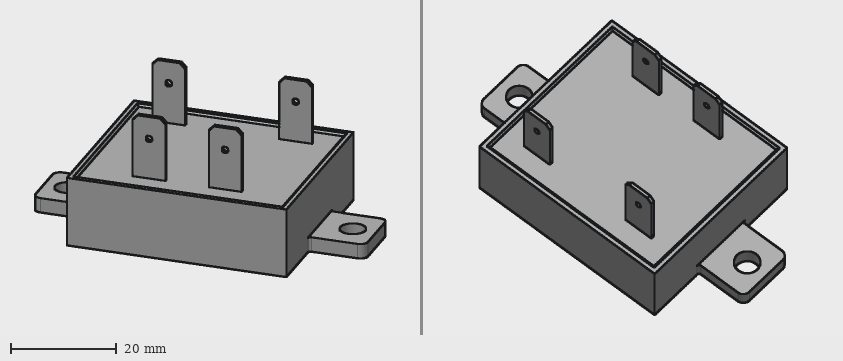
import cadquery as cq

overall_length = 66.55
overall_height = 26.6
body_length = 43.9
body_width = 38.0
body_height = 14.0
standoff = 0.4
body_top = standoff + body_height

rim_width = 1.0
recess_slope_run = 0.45
recess_depth = 0.45

pad_length = 35.95
pad_width = 29.95
tab_width = 12.65
tab_thickness = 3.0
tab_corner_radius = 1.5
tab_root_radius = 0.5
mount_hole_spacing = 57.1
mount_hole_diameter = 5.0
mount_ring_diameter = 8.0

blade_width = 6.5
blade_thickness = 0.8
blade_chamfer = 1.0
blade_hole_diameter = 1.25
blade_hole_drop = 4.5
blade_row_spacing = 25.4
front_blade_spacing = 15.25
back_blade_spacing = 25.4


def make_housing():
    """Rectangular housing with a shallow tapered recess in its top."""
    housing = cq.Workplane("XY").workplane(offset=standoff).rect(body_length, body_width).extrude(body_height)
    mouth_length = body_length - 2 * rim_width
    mouth_width = body_width - 2 * rim_width
    recess = (
        cq.Workplane("XY")
        .workplane(offset=body_top)
        .rect(mouth_length, mouth_width)
        .workplane(offset=-recess_depth)
        .rect(mouth_length - 2 * recess_slope_run, mouth_width - 2 * recess_slope_run)
        .loft(combine=True)
    )
    return housing.cut(recess)


def add_tabs(housing):
    """Add a rounded mounting tab at each end, filleted into the housing."""
    tabs = (
        cq.Workplane("XY")
        .workplane(offset=standoff)
        .rect(overall_length, tab_width)
        .extrude(tab_thickness)
        .edges("|Z")
        .fillet(tab_corner_radius)
    )
    joined = housing.union(tabs)
    root_tolerance = 0.05
    for side in (-1, 1):
        root_x = side * body_length / 2
        selector = cq.selectors.BoxSelector(
            (root_x - root_tolerance, -tab_width / 2 - root_tolerance, standoff),
            (root_x + root_tolerance, tab_width / 2 + root_tolerance, standoff + tab_thickness),
        )
        joined = joined.edges(selector).edges("|Z").fillet(tab_root_radius)
    return joined


def add_base(part):
    """Add the base pad and mounting rings, then drill the mounting holes."""
    pad = cq.Workplane("XY").rect(pad_length, pad_width).extrude(standoff)
    mounts = cq.Workplane("XY").pushPoints([(-mount_hole_spacing / 2, 0), (mount_hole_spacing / 2, 0)])
    rings = mounts.circle(mount_ring_diameter / 2).extrude(standoff)
    holes = mounts.circle(mount_hole_diameter / 2).extrude(standoff + tab_thickness)
    return part.union(pad).union(rings).cut(holes)


def make_blade(x, y):
    """Upright blade with a chamfered tip and a cross hole, rooted in the recess floor."""
    root = body_top - recess_depth
    blade = (
        cq.Workplane("XY")
        .workplane(offset=root)
        .rect(blade_width, blade_thickness)
        .extrude(overall_height - root)
        .edges("|Y and >Z")
        .chamfer(blade_chamfer)
    )
    hole = (
        cq.Workplane("XZ")
        .center(0, overall_height - blade_hole_drop)
        .circle(blade_hole_diameter / 2)
        .extrude(blade_thickness, both=True)
    )
    return blade.cut(hole).translate((x, y, 0))


result = add_base(add_tabs(make_housing()))
for row_side, blade_spacing in ((-1, front_blade_spacing), (1, back_blade_spacing)):
    for side in (-1, 1):
        blade = make_blade(side * blade_spacing / 2, row_side * blade_row_spacing / 2)
        result = result.union(blade)